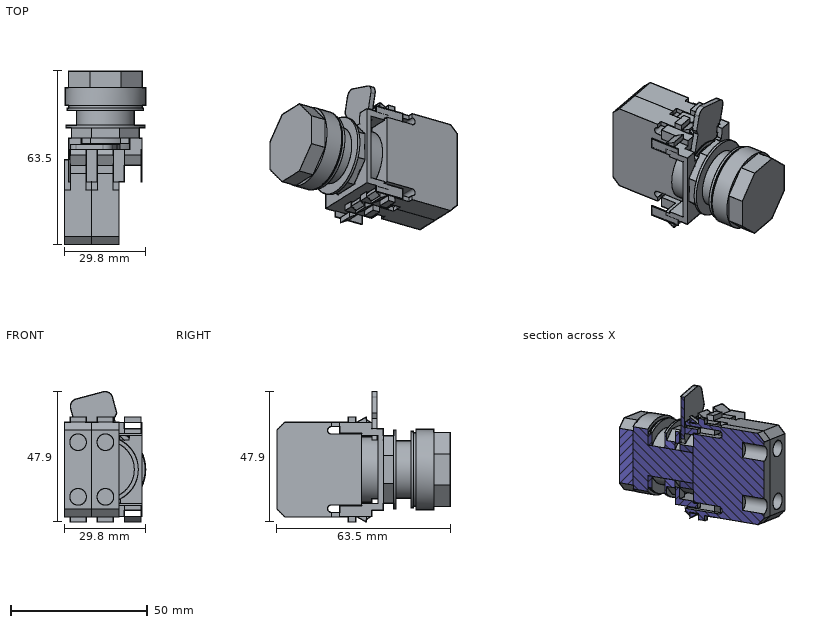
import cadquery as cq
import math


KNOB_FLATS = 27.2
KNOB_LENGTH = 6.05
BEZEL_RADIUS = 14.8
BEZEL_LENGTH = 6.55
BEZEL_REAR = 11.95
BARREL_RADIUS = 10.6
GASKET_NECK_RADIUS = 13.5
GASKET_NECK_LENGTH = 0.95
GASKET_LIP_RADIUS = 14.05
GASKET_LIP_LENGTH = 0.95
NUT_FLATS = 24.9
NUT_LENGTH = 3.75
NUT_FLANGE_RADIUS = 14.55
NUT_FLANGE_LENGTH = 0.95

BLOCK_COUNT = 2
BLOCK_PAIR_WIDTH = 20.0
PITCH = BLOCK_PAIR_WIDTH / BLOCK_COUNT
BLOCK_FRONT = -7.95
BLOCK_REAR = -39.0
BLOCK_HALF_HEIGHT = 17.4
BLOCK_CHAMFER = 2.9
CORE_HALF_HEIGHT = 13.0
TERMINAL_RADIUS = 3.05
TERMINAL_DEPTH = 9.5
TERMINAL_OFFSET = PITCH
LATCH_WIDTH = 5.7
LATCH_ROOT = -19.05
LATCH_BOTTOM = 15.7
LATCH_NECK_TOP = 17.0
LATCH_TIP = -4.25
NOSE_HEIGHT = 18.35
TAB_LENGTH = 2.85
HOOK_TOP = 19.3

BRACKET_WIDTH = 27.0
PLATE_HALF_HEIGHT = 15.0
PLATE_THICKNESS = 2.0
ARM_INNER = 12.45
EAR_INNER = 13.2
EAR_TOP = 17.3
EAR_FRONT = -4.2
EAR_REAR = -16.0
LEDGE_REAR = -9.8
SLOT_COUNT = 3
SLOT_WIDTH = 6.1
WEDGE_FRONT = -6.2
WEDGE_REAR = -10.05
WEDGE_BOTTOM = 17.15
NOTCH_FLOOR_HALF_WIDTH = 8.6
NOTCH_TOP_HALF_WIDTH = 9.0
NOTCH_FLOOR = 10.7
LEVER_SLOT_LEFT = -10.8

COLLAR_RADIUS = 12.05
LEVER_THICKNESS = 1.9
LEVER_TILT = 15
LEVER_TOP = 27.75
LEVER_LEFT = -6.55
LEVER_RIGHT = 9.4
LEVER_CORNER_RADIUS = 2.85
NECK_LEFT = -5.85
NECK_RIGHT = 8.0
SHOULDER_TOP = 18.85
SHOULDER_BOTTOM = 17.3

OCTAGON_HALF_ANGLE = 22.5


def box(x_range, y_range, z_range):
    """Box between two limits on each axis."""
    sizes = [high - low for low, high in (x_range, y_range, z_range)]
    return cq.Workplane("XY").box(*sizes, centered=False).translate((x_range[0], y_range[0], z_range[0]))


def cylinder(radius, rear, length):
    """Cylinder on the operator axis from Y = rear toward +Y."""
    return cq.Workplane("XZ", origin=(0, rear, 0)).circle(radius).extrude(-length)


def octagon(flats, rear, length):
    """Octagonal prism on the operator axis with flats facing X and Z."""
    corner_diameter = flats / math.cos(math.radians(OCTAGON_HALF_ANGLE))
    prism = cq.Workplane("XZ", origin=(0, rear, 0)).polygon(8, corner_diameter).extrude(-length)
    return prism.rotate((0, 0, 0), (0, 1, 0), OCTAGON_HALF_ANGLE)


def side_profile(points, x_center, width):
    """Prism along X from a (Y, Z) outline, centred on x_center."""
    return cq.Workplane("YZ", origin=(x_center - width / 2, 0, 0)).polyline(points).close().extrude(width)


def both_sides(upper):
    """Join a shape with its mirror image below the operator axis."""
    return upper.union(upper.mirror("XY"))


def make_knob():
    return octagon(KNOB_FLATS, BEZEL_REAR + BEZEL_LENGTH, KNOB_LENGTH)


def make_operator_body():
    bezel = cylinder(BEZEL_RADIUS, BEZEL_REAR, BEZEL_LENGTH)
    barrel = cylinder(BARREL_RADIUS, BLOCK_FRONT, BEZEL_REAR - BLOCK_FRONT)
    return bezel.union(barrel)


def make_gasket():
    neck_rear = BEZEL_REAR - GASKET_NECK_LENGTH
    lip_rear = neck_rear - GASKET_LIP_LENGTH
    neck = cylinder(GASKET_NECK_RADIUS, neck_rear, GASKET_NECK_LENGTH)
    lip = cylinder(GASKET_LIP_RADIUS, lip_rear, GASKET_LIP_LENGTH)
    return neck.union(lip).cut(cylinder(BARREL_RADIUS, lip_rear, BEZEL_REAR - lip_rear))


def make_nut():
    body = octagon(NUT_FLATS, 0, NUT_LENGTH)
    flange = cylinder(NUT_FLANGE_RADIUS, NUT_LENGTH, NUT_FLANGE_LENGTH)
    return body.union(flange).cut(cylinder(BARREL_RADIUS, 0, NUT_LENGTH + NUT_FLANGE_LENGTH))


def make_bracket_side():
    """Upper arm of the bracket: wall, ears, three latch slots and their wedges."""
    half_width = BRACKET_WIDTH / 2
    full_width = (-half_width, half_width)
    side = box(full_width, (BLOCK_FRONT, 0), (ARM_INNER, PLATE_HALF_HEIGHT))
    side = side.union(box(full_width, (BLOCK_FRONT, EAR_FRONT), (ARM_INNER, EAR_TOP)))
    side = side.union(box(full_width, (EAR_REAR, BLOCK_FRONT), (EAR_INNER, EAR_TOP)))

    wedge_outline = [(WEDGE_FRONT, WEDGE_BOTTOM), (WEDGE_FRONT, HOOK_TOP), (WEDGE_REAR, WEDGE_BOTTOM)]
    for index in range(SLOT_COUNT):
        x_center = (index - (SLOT_COUNT - 1) / 2) * PITCH
        slot = (x_center - SLOT_WIDTH / 2, x_center + SLOT_WIDTH / 2)
        side = side.cut(box(slot, (EAR_REAR, EAR_FRONT), (PLATE_HALF_HEIGHT, EAR_TOP)))
        side = side.cut(box(slot, (EAR_REAR, LEDGE_REAR), (EAR_INNER, EAR_TOP)))
        side = side.union(side_profile(wedge_outline, x_center, SLOT_WIDTH))
    return side


def make_bracket():
    half_width = BRACKET_WIDTH / 2
    plate = box(
        (-half_width, half_width),
        (-PLATE_THICKNESS, 0),
        (-PLATE_HALF_HEIGHT, PLATE_HALF_HEIGHT),
    )
    bracket = plate.union(both_sides(make_bracket_side()))
    bracket = bracket.cut(cylinder(COLLAR_RADIUS, -PLATE_THICKNESS, PLATE_THICKNESS))

    notch_outline = [
        (-NOTCH_FLOOR_HALF_WIDTH, NOTCH_FLOOR),
        (NOTCH_FLOOR_HALF_WIDTH, NOTCH_FLOOR),
        (NOTCH_TOP_HALF_WIDTH, PLATE_HALF_HEIGHT),
        (-NOTCH_TOP_HALF_WIDTH, PLATE_HALF_HEIGHT),
    ]
    bracket = bracket.cut(cq.Workplane("XZ").polyline(notch_outline).close().extrude(-EAR_FRONT))
    lever_slot = box(
        (LEVER_SLOT_LEFT, 0),
        (EAR_FRONT, EAR_FRONT + LEVER_THICKNESS),
        (NOTCH_FLOOR, PLATE_HALF_HEIGHT),
    )
    bracket = bracket.cut(lever_slot)

    key_half_width = math.sqrt(COLLAR_RADIUS**2 - NOTCH_FLOOR**2)
    key_notch = box(
        (-key_half_width, key_half_width),
        (-PLATE_THICKNESS, 0),
        (-ARM_INNER, -NOTCH_FLOOR),
    )
    return bracket.cut(key_notch)


def make_lever():
    handle = (
        cq.Workplane("XZ", origin=(0, EAR_FRONT, 0))
        .moveTo(NECK_LEFT, 0)
        .lineTo(NECK_LEFT, SHOULDER_BOTTOM)
        .lineTo(LEVER_LEFT, SHOULDER_TOP)
        .lineTo(LEVER_LEFT, LEVER_TOP)
        .lineTo(LEVER_RIGHT, LEVER_TOP)
        .lineTo(LEVER_RIGHT, SHOULDER_TOP)
        .lineTo(NECK_RIGHT, SHOULDER_BOTTOM)
        .lineTo(NECK_RIGHT, 0)
        .close()
        .extrude(-LEVER_THICKNESS)
        .edges("|Y and >Z")
        .fillet(LEVER_CORNER_RADIUS)
        .rotate((0, 0, 0), (0, 1, 0), -LEVER_TILT)
    )
    collar_length = -PLATE_THICKNESS - BLOCK_FRONT
    collar = cylinder(COLLAR_RADIUS, BLOCK_FRONT, collar_length)
    flat = box(
        (-COLLAR_RADIUS, COLLAR_RADIUS),
        (EAR_FRONT, -PLATE_THICKNESS),
        (-COLLAR_RADIUS, -NOTCH_FLOOR),
    )
    lever = collar.cut(flat).union(handle)
    return lever.cut(cylinder(BARREL_RADIUS, BLOCK_FRONT, collar_length))


def make_latch(x_center):
    """Spring tongue with a ramped nose and a release tab."""
    outline = [
        (LATCH_ROOT, LATCH_BOTTOM),
        (LATCH_TIP, LATCH_BOTTOM),
        (LATCH_TIP, LATCH_NECK_TOP),
        (WEDGE_FRONT, NOSE_HEIGHT),
        (WEDGE_FRONT, LATCH_NECK_TOP),
        (WEDGE_REAR, LATCH_NECK_TOP),
        (WEDGE_REAR, HOOK_TOP),
        (WEDGE_REAR - TAB_LENGTH, HOOK_TOP),
        (WEDGE_REAR - TAB_LENGTH, BLOCK_HALF_HEIGHT),
        (LATCH_ROOT, BLOCK_HALF_HEIGHT),
    ]
    return side_profile(outline, x_center, LATCH_WIDTH)


def make_contact_block(x_center):
    width = (x_center - PITCH / 2, x_center + PITCH / 2)
    body = box(width, (BLOCK_REAR, LATCH_ROOT), (-BLOCK_HALF_HEIGHT, BLOCK_HALF_HEIGHT))
    body = body.faces("<Y").edges("|X").chamfer(BLOCK_CHAMFER)
    core = box(width, (LATCH_ROOT, BLOCK_FRONT), (-CORE_HALF_HEIGHT, CORE_HALF_HEIGHT))
    block = body.union(core).union(both_sides(make_latch(x_center)))

    slot_z = (LATCH_BOTTOM + CORE_HALF_HEIGHT) / 2
    slot_end = (
        cq.Workplane("YZ", origin=(width[0], 0, 0))
        .pushPoints([(LATCH_ROOT, slot_z), (LATCH_ROOT, -slot_z)])
        .circle((LATCH_BOTTOM - CORE_HALF_HEIGHT) / 2)
        .extrude(PITCH)
    )
    terminal_holes = (
        cq.Workplane("XZ", origin=(x_center, BLOCK_REAR, 0))
        .pushPoints([(0, TERMINAL_OFFSET), (0, -TERMINAL_OFFSET)])
        .circle(TERMINAL_RADIUS)
        .extrude(-TERMINAL_DEPTH)
    )
    return block.cut(slot_end).cut(terminal_holes)


knob = make_knob()
operator_body = make_operator_body()
gasket = make_gasket()
nut = make_nut()
bracket = make_bracket()
lever = make_lever()
contact_blocks = [make_contact_block(-index * PITCH) for index in range(BLOCK_COUNT)]

bodies = [knob, operator_body, gasket, nut, bracket, lever, *contact_blocks]
result = cq.Compound.makeCompound([body.solids().val() for body in bodies])